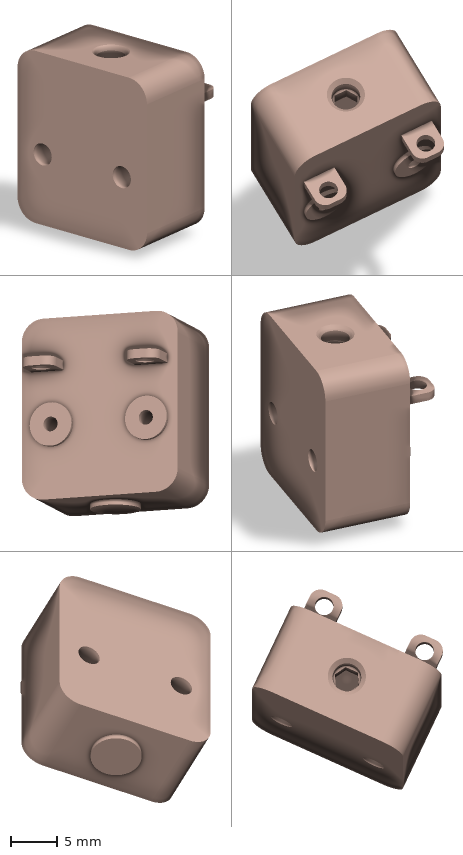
import cadquery as cq
import math

WIDTH = 18.0
DEPTH = 10.0
HEIGHT = 20.0
CORNER_RADIUS = 2.5
FRONT_Y = -DEPTH / 2
BACK_Y = DEPTH / 2

SCREW_X = 5.5
SCREW_Z = -1.8
SCREW_HOLE_DIAMETER = 1.62
SCREW_HEAD_DIAMETER = 2.53
SCREW_HEAD_DEPTH = 5.0
BACK_BOSS_DIAMETER = 4.8
BACK_BOSS_HEIGHT = 0.5

LUG_X = 6.0
LUG_WIDTH = 3.75
LUG_LENGTH = 3.75
LUG_THICKNESS = 1.0
LUG_BOTTOM_Z = 4.15
LUG_CORNER_RADIUS = 1.25
LUG_HOLE_DIAMETER = 2.03
LUG_HOLE_TO_TIP = 1.62

BOTTOM_BOSS_DIAMETER = 5.53
BOTTOM_BOSS_HEIGHT = 0.6

TOP_HOLE_DIAMETER = 3.13
TOP_HOLE_CHAMFER = 0.5
TOP_HOLE_DEPTH = 1.7
SOCKET_SIDES = 6
SOCKET_ACROSS_FLATS = 2.5
SOCKET_ACROSS_CORNERS = SOCKET_ACROSS_FLATS / math.cos(math.pi / SOCKET_SIDES)
SOCKET_DEPTH = 1.5


def cylinder_along_y(diameter, x, z, start_y, length):
    """Cylinder running from start_y toward +Y."""
    return cq.Workplane(
        cq.Solid.makeCylinder(diameter / 2, length, cq.Vector(x, start_y, z), cq.Vector(0, 1, 0))
    )


def make_block():
    block = cq.Workplane("XY").box(WIDTH, DEPTH, HEIGHT)
    return block.edges("|Y").fillet(CORNER_RADIUS)


def add_bottom_boss(body):
    boss = (
        cq.Workplane("XY", origin=(0, 0, -HEIGHT / 2))
        .circle(BOTTOM_BOSS_DIAMETER / 2)
        .extrude(-BOTTOM_BOSS_HEIGHT)
    )
    return body.union(boss)


def add_lug(body, x):
    lug = (
        cq.Workplane("XY", origin=(x, BACK_Y, LUG_BOTTOM_Z))
        .rect(LUG_WIDTH, 2 * LUG_LENGTH)
        .extrude(LUG_THICKNESS)
        .edges("|Z and >Y")
        .fillet(LUG_CORNER_RADIUS)
    )
    hole = (
        cq.Workplane("XY", origin=(x, BACK_Y + LUG_LENGTH - LUG_HOLE_TO_TIP, LUG_BOTTOM_Z))
        .circle(LUG_HOLE_DIAMETER / 2)
        .extrude(LUG_THICKNESS)
    )
    return body.union(lug.cut(hole))


def add_screw_hole(body, x):
    boss = cylinder_along_y(BACK_BOSS_DIAMETER, x, SCREW_Z, BACK_Y, BACK_BOSS_HEIGHT)
    hole = cylinder_along_y(SCREW_HOLE_DIAMETER, x, SCREW_Z, FRONT_Y, DEPTH + BACK_BOSS_HEIGHT)
    head = cylinder_along_y(SCREW_HEAD_DIAMETER, x, SCREW_Z, FRONT_Y, SCREW_HEAD_DEPTH)
    return body.union(boss).cut(hole).cut(head)


def cut_top_hole(body):
    top = cq.Workplane("XY", origin=(0, 0, HEIGHT / 2))
    hole = top.circle(TOP_HOLE_DIAMETER / 2).extrude(-TOP_HOLE_DEPTH)
    chamfer = cq.Workplane(
        cq.Solid.makeCone(
            TOP_HOLE_DIAMETER / 2 + TOP_HOLE_CHAMFER,
            TOP_HOLE_DIAMETER / 2,
            TOP_HOLE_CHAMFER,
            cq.Vector(0, 0, HEIGHT / 2),
            cq.Vector(0, 0, -1),
        )
    )
    socket = (
        cq.Workplane("XY", origin=(0, 0, HEIGHT / 2 - TOP_HOLE_DEPTH))
        .polygon(SOCKET_SIDES, SOCKET_ACROSS_CORNERS)
        .extrude(-SOCKET_DEPTH)
    )
    return body.cut(hole).cut(chamfer).cut(socket)


result = cut_top_hole(add_bottom_boss(make_block()))
for side in (-1, 1):
    result = add_lug(result, side * LUG_X)
    result = add_screw_hole(result, side * SCREW_X)